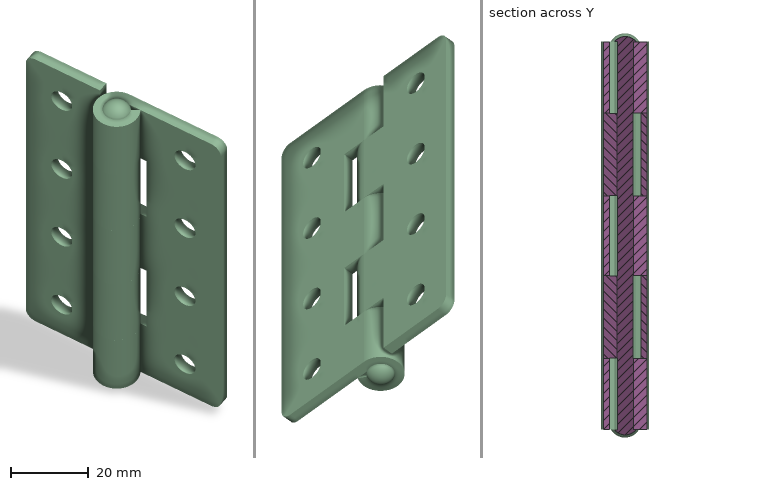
import cadquery as cq
import math

pin_length = 104.2
head_height = 2.1
leaf_height = pin_length - 2 * head_height
hinge_width = 60.0
half_width = hinge_width / 2
half_height = leaf_height / 2

sheet_thickness = 3.0
knuckle_radius = 6.1
bore_radius = knuckle_radius - sheet_thickness
curl_end_angle = 30.0
end_knuckle = 18.4
inner_knuckle = 21.3
middle_knuckle = leaf_height - 2 * (end_knuckle + inner_knuckle)

knuckle_clearance = 1.0
leaf_inner_edge = knuckle_radius + knuckle_clearance
corner_radius = 3.0
hole_diameter = 6.5
hole_offset = 19.0
hole_pitch = 25.9
hole_count = 4

head_radius = 3.6

inner_center = (middle_knuckle + inner_knuckle) / 2
end_center = half_height - end_knuckle / 2
right_knuckles = [(-end_center, end_knuckle), (0, middle_knuckle), (end_center, end_knuckle)]
left_knuckles = [(-inner_center, inner_knuckle), (inner_center, inner_knuckle)]


def polar(radius, degrees):
    angle = math.radians(degrees)
    return (radius * math.cos(angle), radius * math.sin(angle))


def make_plate():
    """Flat part of a leaf on the +X side, with rounded outer corners and screw holes."""
    plate = cq.Workplane("XY").box(
        half_width - leaf_inner_edge, sheet_thickness, leaf_height, centered=(False, False, True)
    ).translate((leaf_inner_edge, bore_radius, 0))
    plate = plate.edges("|Y and >X").fillet(corner_radius)
    for index in range(hole_count):
        height = (index - (hole_count - 1) / 2) * hole_pitch
        hole = (
            cq.Workplane("XZ", origin=(hole_offset, knuckle_radius, height))
            .circle(hole_diameter / 2)
            .extrude(sheet_thickness)
        )
        plate = plate.cut(hole)
    return plate


def make_knuckle(center, length):
    """Strip running inward from the plate and rolled round the pin, stopping short of itself."""
    middle_angle = 225
    return (
        cq.Workplane("XY", origin=(0, 0, center - length / 2))
        .moveTo(leaf_inner_edge, knuckle_radius)
        .lineTo(0, knuckle_radius)
        .threePointArc(polar(knuckle_radius, middle_angle), polar(knuckle_radius, curl_end_angle))
        .lineTo(*polar(bore_radius, curl_end_angle))
        .threePointArc(polar(bore_radius, middle_angle), (0, bore_radius))
        .lineTo(leaf_inner_edge, bore_radius)
        .close()
        .extrude(length)
    )


def make_leaf(knuckles):
    """One hinge leaf on the +X side: a plate with its rolled knuckles."""
    leaf = make_plate()
    for center, length in knuckles:
        leaf = leaf.union(make_knuckle(center, length))
    return leaf


def make_pin():
    """Round pin whose domed heads lie against the end knuckles."""
    tip = pin_length / 2
    dome_radius = (head_radius**2 + head_height**2) / (2 * head_height)
    half_angle = math.asin(head_radius / dome_radius) / 2
    dome_x = dome_radius * math.sin(half_angle)
    dome_z = tip - dome_radius * (1 - math.cos(half_angle))
    return (
        cq.Workplane("XZ")
        .moveTo(0, -tip)
        .threePointArc((dome_x, -dome_z), (head_radius, -half_height))
        .lineTo(bore_radius, -half_height)
        .lineTo(bore_radius, half_height)
        .lineTo(head_radius, half_height)
        .threePointArc((dome_x, dome_z), (0, tip))
        .close()
        .revolve(360, (0, 0, 0), (0, 1, 0))
    )


right_leaf = make_leaf(right_knuckles)
left_leaf = make_leaf(left_knuckles).mirror("YZ")
pin = make_pin()

result = cq.Compound.makeCompound([right_leaf.val(), left_leaf.val(), pin.val()])